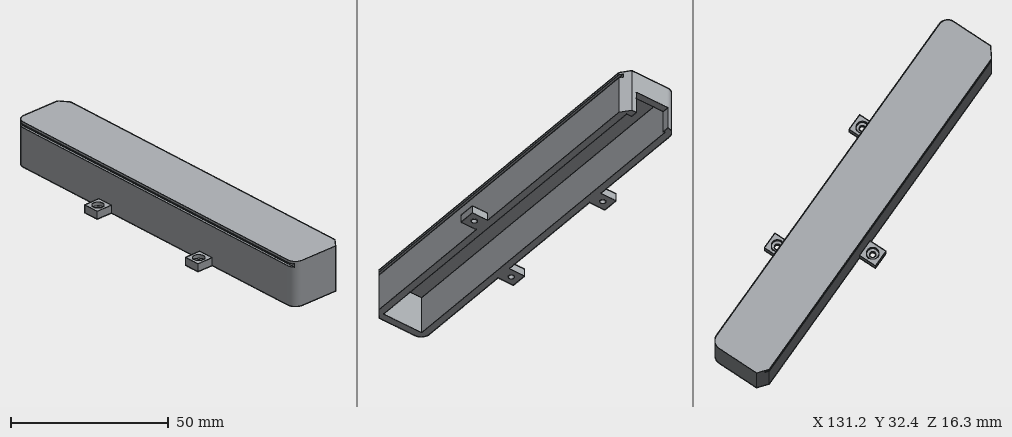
import cadquery as cq

length = 131.2
width = 20.2
height = 16.3
wall = 2.5
roof = 2.0
front_corner_radius = 3.3
rear_chamfer_length = 3.3
rear_chamfer_depth = 2.6

groove_depth = 0.9
groove_height = 1.2
groove_lip = 0.9

opening_height = 8.3
opening_front_inset = 3.1
opening_rear_inset = 4.5

overall_width = 32.4
tab_length = (overall_width - width) / 2
tab_width = 5.9
tab_height = 2.9
screw_hole_diameter = 2.0
counterbore_diameter = 4.0
counterbore_depth = 1.3
front_tab_positions = (-23.7, 23.7)
rear_tab_positions = (8.8,)

half_length = length / 2
half_width = width / 2


def housing_block():
    """Solid outline with rounded front corners and chamfered rear corners."""
    shoulder_x = half_length - rear_chamfer_length
    shoulder_y = half_width - rear_chamfer_depth
    block = (
        cq.Workplane("XY")
        .moveTo(-half_length, -half_width)
        .lineTo(half_length, -half_width)
        .lineTo(half_length, shoulder_y)
        .lineTo(shoulder_x, half_width)
        .lineTo(-shoulder_x, half_width)
        .lineTo(-half_length, shoulder_y)
        .close()
        .extrude(height)
    )
    front_corners = cq.selectors.BoxSelector(
        (-length, -half_width - wall, 0), (length, -half_width + wall, height)
    )
    return block.edges("|Z").edges(front_corners).fillet(front_corner_radius)


def side_groove(side):
    """Straight groove cutter for the long side facing side * Y."""
    return (
        cq.Workplane("XY", origin=(0, side * half_width, height - groove_lip - groove_height))
        .box(length, 2 * groove_depth, groove_height, centered=(True, True, False))
    )


def cavity():
    return cq.Workplane("XY").box(
        length - 2 * wall, width - 2 * wall, height - roof, centered=(True, True, False)
    )


def cable_opening():
    return (
        cq.Workplane("XY", origin=(-half_length, -half_width + opening_front_inset, 0))
        .box(
            2 * wall,
            width - opening_front_inset - opening_rear_inset,
            opening_height,
            centered=(True, False, False),
        )
    )


def screw_tab(x, side):
    """Counterbored tab standing out from the long side facing side * Y."""
    return (
        cq.Workplane("XY", origin=(x, side * (half_width + tab_length / 2), 0))
        .box(tab_width, tab_length, tab_height, centered=(True, True, False))
        .faces(">Z")
        .workplane()
        .cboreHole(screw_hole_diameter, counterbore_diameter, counterbore_depth)
    )


result = housing_block().cut(cavity()).cut(cable_opening())
for side in (-1, 1):
    result = result.cut(side_groove(side))
for x in front_tab_positions:
    result = result.union(screw_tab(x, -1))
for x in rear_tab_positions:
    result = result.union(screw_tab(x, 1))